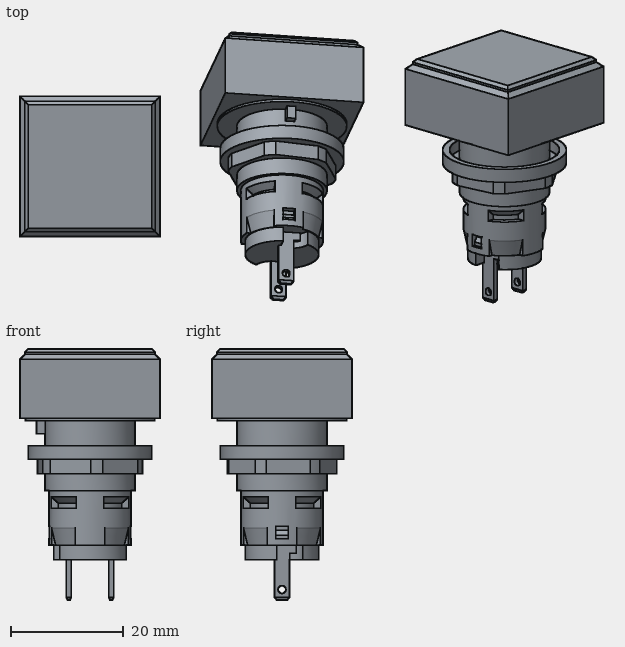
import cadquery as cq
import math


total_height = 44.6
lens_edge_z = 44.0
bezel_top_z = 43.6
bezel_shoulder_z = 42.75
bezel_bottom_z = 32.25
gasket_bottom_z = 31.8
ring_top_z = 27.45
ring_bottom_z = 24.98
nut_bottom_z = 22.4
barrel_bottom_z = 19.45
body_bottom_z = 9.75
base_bottom_z = 7.15

bezel_side = 24.95
lens_side = 23.1
lens_top_side = 21.95

gasket_diameter = 23.0
barrel_diameter = 16.0
ring_diameter = 22.0
ring_recess_diameter = 19.5
ring_recess_depth = 2.0
body_diameter = 14.65
base_diameter = 13.05

nut_across_flats = 17.85
nut_corner_diameter = 19.5
nut_turn = 7.1

key_reach = 9.5
key_width = 1.6
key_bottom_z = 29.53

window_wall_offset = 2.45
window_inner_radius = 6.15
window_top_z = 18.35
window_roof_inner_z = 17.2
window_bottom_z = 16.32

taper_wall_offset = 2.65
taper_top_z = 12.8
taper_bottom_radius = 6.65

snap_width = 2.2
snap_bottom_z = 10.93
snap_top_z = 13.1
core_diameter = 12.0
latch_face_x = 6.65
latch_top_z = 11.55
ramp_top_z = 12.4

terminal_outer_x = 4.25
terminal_thickness = 0.95
terminal_width = 2.7
terminal_hole_diameter = 1.35
terminal_hole_z = 1.87
tip_height = 0.55
tip_thickness = 0.45
tip_width = 1.87

notch_left_y = 0.95
notch_right_y = -3.85
notch_corner_radius = 3.1
shoulder_bottom_z = 8.35
shoulder_right_y = -2.55

terminal_inner_x = terminal_outer_x - terminal_thickness
body_radius = body_diameter / 2
outside = body_diameter


def disc(diameter, bottom_z, top_z):
    return cq.Workplane("XY").workplane(offset=bottom_z).circle(diameter / 2).extrude(top_z - bottom_z)


def block(x_range, y_range, z_range):
    size = [high - low for low, high in (x_range, y_range, z_range)]
    corner = (x_range[0], y_range[0], z_range[0])
    return cq.Workplane("XY").box(*size, centered=False).translate(corner)


def square_frustum(bottom_side, top_side, bottom_z, top_z):
    return (
        cq.Workplane("XY").workplane(offset=bottom_z).rect(bottom_side, bottom_side)
        .workplane(offset=top_z - bottom_z).rect(top_side, top_side)
        .loft(ruled=True)
    )


def half_turn(shape):
    return shape.rotate((0, 0, 0), (0, 0, 1), 180)


def make_head():
    bezel = block(*[(-bezel_side / 2, bezel_side / 2)] * 2, (bezel_bottom_z, bezel_shoulder_z))
    bezel_bevel = square_frustum(bezel_side, lens_side, bezel_shoulder_z, bezel_top_z)
    lens = block(*[(-lens_side / 2, lens_side / 2)] * 2, (bezel_top_z, lens_edge_z))
    lens_bevel = square_frustum(lens_side, lens_top_side, lens_edge_z, total_height)
    gasket = disc(gasket_diameter, gasket_bottom_z, bezel_bottom_z)
    key = block((-key_reach, 0), (-key_width / 2, key_width / 2), (key_bottom_z, gasket_bottom_z))
    return bezel.union(bezel_bevel).union(lens).union(lens_bevel).union(gasket).union(key)


def make_ring():
    ring = disc(ring_diameter, ring_bottom_z, ring_top_z)
    return ring.cut(disc(ring_recess_diameter, ring_top_z - ring_recess_depth, ring_top_z))


def make_nut():
    across_corners = nut_across_flats / math.cos(math.radians(30))
    hexagon = (
        cq.Workplane("XY").workplane(offset=nut_bottom_z)
        .polygon(6, across_corners).extrude(ring_bottom_z - nut_bottom_z)
        .rotate((0, 0, 0), (0, 0, 1), nut_turn - 90)
    )
    return hexagon.intersect(disc(nut_corner_diameter, nut_bottom_z, ring_bottom_z))


def corner_cutter(profile, wall_offset):
    """Turned ring with the given (radius, z) profile, kept only in the four diagonal corners."""
    ring = cq.Workplane("XZ").polyline(profile).close().revolve(360, (0, 0), (0, 1))
    z_range = (base_bottom_z, barrel_bottom_z)
    side_walls = (-wall_offset, wall_offset)
    ring = ring.cut(block((-outside, outside), side_walls, z_range))
    return ring.cut(block(side_walls, (-outside, outside), z_range))


def make_snap_window():
    core_radius = core_diameter / 2
    window = (
        cq.Workplane("XZ", origin=(0, snap_width / 2, 0))
        .moveTo(-outside, snap_bottom_z)
        .lineTo(-latch_face_x, snap_bottom_z)
        .lineTo(-latch_face_x, latch_top_z)
        .lineTo(-core_radius, ramp_top_z)
        .lineTo(0, ramp_top_z)
        .lineTo(0, snap_top_z)
        .lineTo(-outside, snap_top_z)
        .close().extrude(snap_width)
    )
    return window.cut(disc(core_diameter, body_bottom_z, barrel_bottom_z))


def make_body():
    body = disc(body_diameter, body_bottom_z, barrel_bottom_z)
    windows = corner_cutter(
        [
            (window_inner_radius, window_bottom_z),
            (outside, window_bottom_z),
            (outside, window_top_z),
            (body_radius, window_top_z),
            (window_inner_radius, window_roof_inner_z),
        ],
        window_wall_offset,
    )
    tapers = corner_cutter(
        [
            (taper_bottom_radius, body_bottom_z),
            (body_radius, taper_top_z),
            (outside, taper_top_z),
            (outside, body_bottom_z),
        ],
        taper_wall_offset,
    )
    snap_window = make_snap_window()
    return body.cut(windows).cut(tapers).cut(snap_window).cut(half_turn(snap_window))


def make_base():
    base = disc(base_diameter, base_bottom_z, body_bottom_z)
    notch = block(
        (-outside, -terminal_inner_x), (notch_right_y, notch_left_y), (base_bottom_z, body_bottom_z)
    )
    notch = notch.edges("|Z and >X and <Y").fillet(notch_corner_radius)
    return base.cut(notch).cut(half_turn(notch))


def make_terminal():
    middle_x = -terminal_outer_x + terminal_thickness / 2
    blade = block(
        (-terminal_outer_x, -terminal_inner_x),
        (-terminal_width / 2, terminal_width / 2),
        (tip_height, body_bottom_z),
    )
    tip = (
        cq.Workplane("XY", origin=(middle_x, 0, 0)).rect(tip_thickness, tip_width)
        .workplane(offset=tip_height).rect(terminal_thickness, terminal_width)
        .loft(ruled=True)
    )
    shoulder = block(
        (-terminal_outer_x, -terminal_inner_x),
        (shoulder_right_y, notch_left_y),
        (shoulder_bottom_z, body_bottom_z),
    )
    hole = (
        cq.Workplane("YZ", origin=(-terminal_outer_x, 0, terminal_hole_z))
        .circle(terminal_hole_diameter / 2).extrude(terminal_thickness)
    )
    return blade.union(tip).union(shoulder).cut(hole)


barrel = disc(barrel_diameter, barrel_bottom_z, gasket_bottom_z)
terminal = make_terminal()

result = make_head()
for piece in (
    barrel,
    make_ring(),
    make_nut(),
    make_body(),
    make_base(),
    terminal,
    half_turn(terminal),
):
    result = result.union(piece)